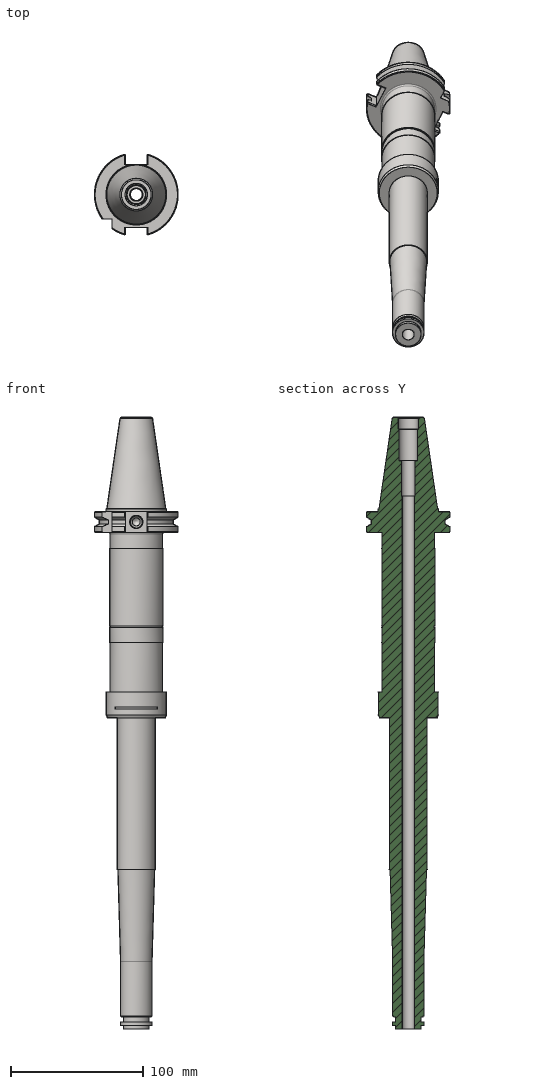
import cadquery as cq
import math

gauge_dia = 44.45
taper_length = 68.4
taper_ratio = 7 / 24
taper_tip_chamfer = 1.0
total_length = 463.75
tip_z = taper_length - total_length

flange_dia = 63.55
flange_top_z = -3.2
flange_bottom_z = -19.1
flange_thickness = flange_top_z - flange_bottom_z
flange_edge_chamfer = 0.6
seat_dia = 46.0
seat_top_z = -0.8
vee_z = -11.1
vee_root_dia = 56.25
vee_root_half_width = 1.5
vee_half_angle = 30
vee_overcut = 1.0

slot_width = 16.1
front_slot_floor = 25.0
back_slot_floor = 22.8
slot_edge_chamfer = 0.85
select_margin = 0.1
notch_offset = 18.5
chip_hole_dia = 10.0
chip_hole_depth = 4.6
chip_sink_dia = 9.0
chip_pilot_dia = 6.0
chip_pilot_depth = 7.5
chip_pilot_cone = 1.5

neck_dia = 40.0
neck_fillet = 1.0
neck_end_z = -31.2
body_dia = 40.5
body_end_z = -102.4
body_groove_z = -90.5
body_groove_width = 1.4
body_groove_depth = 0.4
lower_body_dia = 40.0
collar_dia = 45.7
collar_top_z = -139.8
collar_bottom_z = -159.5
collar_chamfer_height = 2.2
collar_chamfer_width = 0.9
collar_groove_z = -152.0
collar_groove_width = 1.4
collar_groove_depth = 0.4
collar_groove_sweep = 90

shank_dia = 29.0
shank_end_z = -274.3
cone_top_dia = 28.0
cone_end_z = -344.0
tip_dia = 24.0
tip_groove_dia = 19.5
tip_groove_top_z = -385.2
tip_groove_chamfer = 1.0
tip_rim_top_z = -389.8
tip_rim_bottom_z = -392.6

mouth_dia = 17.0
pilot_dia = 15.0
pilot_depth = 9.0
thread_dia = 13.84
thread_depth = 33.0
lower_hole_dia = 10.0
lower_hole_depth = 60.0
through_dia = 9.0


def revolve_profile(points):
    """Revolve a closed outline of (radius, z) points about the Z axis."""
    return cq.Workplane("XZ").polyline(points).close().revolve(360, (0, 0, 0), (0, 1, 0))


def make_spindle():
    """Taper, body, collar, shank and tip as one turned solid."""
    gauge_r = gauge_dia / 2
    tip_end_r = gauge_r - taper_length * taper_ratio / 2
    taper_end_r = gauge_r - seat_top_z * taper_ratio / 2
    seat_r = seat_dia / 2
    neck_r = neck_dia / 2
    collar_r = collar_dia / 2
    tip_r = tip_dia / 2
    tip_groove_r = tip_groove_dia / 2
    fillet_offset = neck_fillet * (1 - math.sqrt(0.5))
    outline = (
        cq.Workplane("XZ")
        .moveTo(0, taper_length)
        .lineTo(tip_end_r - taper_tip_chamfer, taper_length)
        .lineTo(tip_end_r + taper_tip_chamfer * taper_ratio / 2, taper_length - taper_tip_chamfer)
        .lineTo(taper_end_r, seat_top_z)
        .lineTo(seat_r, seat_top_z - (seat_r - taper_end_r))
        .lineTo(seat_r, flange_top_z)
        .lineTo(gauge_r, flange_top_z)
        .lineTo(neck_r + neck_fillet, flange_bottom_z)
        .threePointArc(
            (neck_r + fillet_offset, flange_bottom_z - fillet_offset),
            (neck_r, flange_bottom_z - neck_fillet),
        )
        .lineTo(neck_r, neck_end_z)
        .lineTo(body_dia / 2, neck_end_z)
        .lineTo(body_dia / 2, body_end_z)
        .lineTo(lower_body_dia / 2, body_end_z)
        .lineTo(lower_body_dia / 2, collar_top_z)
        .lineTo(collar_r, collar_top_z)
        .lineTo(collar_r, collar_bottom_z + collar_chamfer_height)
        .lineTo(collar_r - collar_chamfer_width, collar_bottom_z)
        .lineTo(shank_dia / 2, collar_bottom_z)
        .lineTo(shank_dia / 2, shank_end_z)
        .lineTo(cone_top_dia / 2, shank_end_z)
        .lineTo(tip_r, cone_end_z)
        .lineTo(tip_r, tip_groove_top_z)
        .lineTo(tip_r - tip_groove_chamfer, tip_groove_top_z - tip_groove_chamfer)
        .lineTo(tip_groove_r, tip_groove_top_z - tip_groove_chamfer)
        .lineTo(tip_groove_r, tip_rim_top_z)
        .lineTo(tip_r, tip_rim_top_z)
        .lineTo(tip_r, tip_rim_bottom_z)
        .lineTo(tip_groove_r, tip_rim_bottom_z)
        .lineTo(tip_groove_r, tip_z)
        .lineTo(0, tip_z)
        .close()
    )
    return outline.revolve(360, (0, 0, 0), (0, 1, 0))


def make_drive_slot(side, floor):
    """Slot cutter on +Y (side = 1) or -Y (side = -1), open from its floor outwards."""
    reach = flange_dia - floor
    return (
        cq.Workplane("XY")
        .box(slot_width, reach, flange_thickness, centered=(True, True, False))
        .translate((0, side * (floor + reach / 2), flange_bottom_z))
    )


def make_notch():
    """Orientation notch cutter in the (-X, -Y) quadrant."""
    return (
        cq.Workplane("XY")
        .box(flange_dia, flange_dia, flange_thickness, centered=(True, True, False))
        .translate((-notch_offset - flange_dia / 2, -notch_offset - flange_dia / 2, flange_bottom_z))
    )


def make_vee_ring():
    """Ring cutter for the V groove, widening from the flat root past the rim."""
    root_r = vee_root_dia / 2
    outer_r = flange_dia / 2 + vee_overcut
    mouth_half = vee_root_half_width + (outer_r - root_r) * math.tan(math.radians(vee_half_angle))
    return revolve_profile([
        (root_r, vee_z + vee_root_half_width),
        (outer_r, vee_z + mouth_half),
        (outer_r, vee_z - mouth_half),
        (root_r, vee_z - vee_root_half_width),
    ])


def make_flange():
    disc = cq.Workplane("XY").workplane(offset=flange_bottom_z)
    disc = disc.circle(flange_dia / 2).extrude(flange_thickness).faces("|Z").chamfer(flange_edge_chamfer)
    disc = disc.cut(make_drive_slot(1, back_slot_floor))
    disc = disc.cut(make_drive_slot(-1, front_slot_floor))

    half = slot_width / 2 + select_margin
    low_z = flange_bottom_z - select_margin
    high_z = flange_top_z + select_margin
    front_floor = -front_slot_floor - select_margin
    back_floor = back_slot_floor + select_margin
    slots = cq.selectors.BoxSelector((-half, -flange_dia, low_z), (half, flange_dia, high_z))
    floors = cq.selectors.BoxSelector((-half, front_floor, low_z), (half, back_floor, high_z))
    disc = disc.edges(slots - floors).chamfer(slot_edge_chamfer)
    return disc.cut(make_notch()).cut(make_vee_ring())


def make_chip_hole():
    """Stepped blind hole with a drill point, sunk in the front slot floor along +Y."""
    sink_depth = (chip_sink_dia - chip_pilot_dia) / 2
    return (
        revolve_profile([
            (0, 0),
            (chip_hole_dia / 2, 0),
            (chip_hole_dia / 2, chip_hole_depth),
            (chip_sink_dia / 2, chip_hole_depth),
            (chip_pilot_dia / 2, chip_hole_depth + sink_depth),
            (chip_pilot_dia / 2, chip_pilot_depth),
            (0, chip_pilot_depth + chip_pilot_cone),
        ])
        .rotate((0, 0, 0), (1, 0, 0), -90)
        .translate((0, -front_slot_floor, vee_z))
    )


def make_groove(outer_dia, depth, z, width, sweep):
    """Shallow square groove cutter; a sweep below 360 degrees is centred on -Y."""
    outline = cq.Workplane("XZ").center(outer_dia / 2, z).rect(2 * depth, width)
    ring = outline.revolve(sweep, (-outer_dia / 2, 0, 0), (-outer_dia / 2, 1, 0))
    return ring.rotate((0, 0, 0), (0, 0, 1), -90 - sweep / 2)


def make_bore():
    """Drawbar pilot and thread at the taper tip, then a plain hole through to the other end."""
    lead_in = (pilot_dia - thread_dia) / 2
    return revolve_profile([
        (0, taper_length),
        (mouth_dia / 2, taper_length),
        (pilot_dia / 2, taper_length - (mouth_dia - pilot_dia) / 2),
        (pilot_dia / 2, taper_length - pilot_depth),
        (thread_dia / 2, taper_length - pilot_depth - lead_in),
        (thread_dia / 2, taper_length - thread_depth),
        (lower_hole_dia / 2, taper_length - thread_depth),
        (lower_hole_dia / 2, taper_length - lower_hole_depth),
        (through_dia / 2, taper_length - lower_hole_depth),
        (through_dia / 2, tip_z),
        (0, tip_z),
    ])


body_groove = make_groove(body_dia, body_groove_depth, body_groove_z, body_groove_width, 360)
collar_groove = make_groove(
    collar_dia, collar_groove_depth, collar_groove_z, collar_groove_width, collar_groove_sweep
)

result = make_spindle().union(make_flange())
for cutter in (make_chip_hole(), body_groove, collar_groove, make_bore()):
    result = result.cut(cutter)